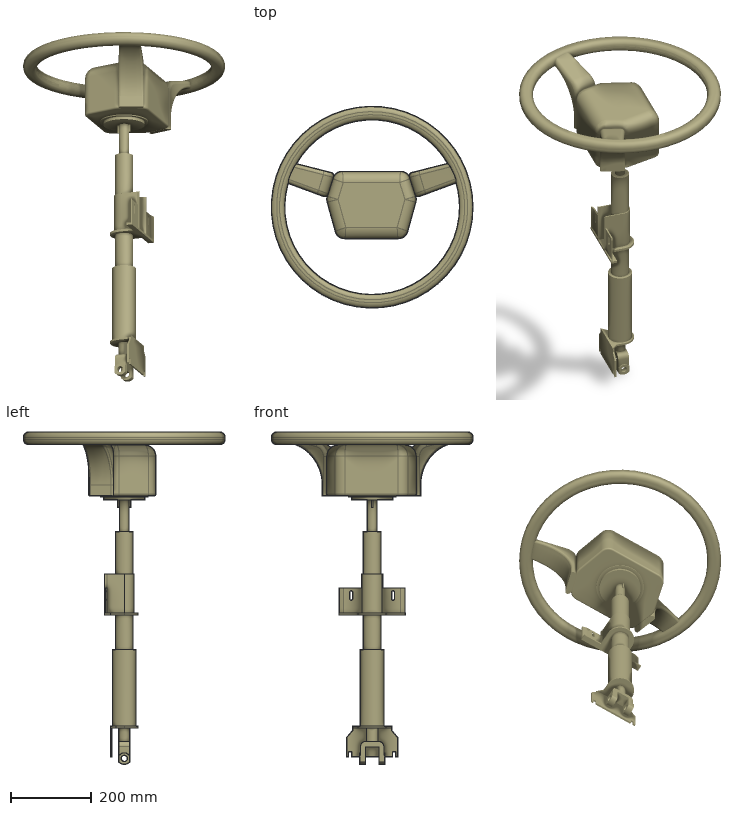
import cadquery as cq
import math

TOP_Z = 821
RIM_DIAMETER = 498.0
RIM_OUTER_R = RIM_DIAMETER / 2
RIM_WIDTH = 34.0
RIM_HEIGHT = 31.0
RIM_ROUND = 13.0

PAD_X = -2.0
PAD_BOTTOM_Z = 663.0
PAD_TOP_Z = 789.0
PAD_BACK_Y = 89.0
PAD_BACK_HALF = 90.0
PAD_SIDE_Y = 20.0
PAD_SIDE_HALF = 112.0
PAD_FRONT_Y = -78.0
PAD_FRONT_HALF = 84.5
PAD_CORNER_R = 25.0
PAD_TOP_R = 28.0
PAD_BOTTOM_R = 4.0

FLANGE_R = 59.0
FLANGE_T = 2.5
COLLAR_R = 51.0
HUB_BOTTOM_Z = 653.0

SPOKE_CENTRE_V = 21.0
SPOKE_ROOT_WIDTH = 63.0
SPOKE_TAPER = 3
SPOKE_ROOT_T = 15.0
SPOKE_OVERLAP = 2.0
SPOKE_ARC_Z = 690.0
SPOKE_ARC_R = 105.0
SPOKE_NOSE_Z = 760.0
SPOKE_NOSE_R = 35.0
SPOKE_SLOPE = 14.5
SPOKE_TOP_ROUND = 10.0
SPOKE_UNDER_ROUND = 4.5

SHAFT_R = 12.0
KEY_WIDTH = 3.0
KEY_REACH = 16.5
KEY_BOTTOM_Z = 634.5
INNER_TUBE_R = 22.0
INNER_TUBE_TOP_Z = 574.5
OUTER_TUBE_R = 29.5
OUTER_TUBE_TOP_Z = 283.0

SLEEVE_R = 25.0
SLEEVE_TOP_Z = 470.0
SLEEVE_FLARE = 2.05
BRACKET_BACK_Y = 49.0
WING_HALF = 81.0
WING_TOP_Z = 436.0
WING_FRONT_Y = 43.0
WING_T = 3.0
WING_BEND_X = 70.5
FOOT_TOP_Z = 374.0
FOOT_T = 6.0
FOOT_R = 34.5
FOOT_HALF = 82.0
FOOT_WING_Y = 34.5
SLOT_X = 52.0
SLOT_Z = 417.0
SLOT_LENGTH = 23.0
SLOT_WIDTH = 6.5

PLATE_TOP_Z = 94.0
PLATE_T = 5.0
PLATE_R = 34.5
PLATE_HALF = 48.5
APRON_T = 4.0
APRON_HALF = 63.0
APRON_NECK_Z = 84.0
APRON_SHOULDER_Z = 66.5
APRON_BOTTOM_Z = 19.0
NOTCH_X = 54.0
NOTCH_WIDTH = 7.0
NOTCH_TOP_Z = 31.0

NECK_R = 14.0
YOKE_TOP_Z = 57.0
YOKE_HALF = 29.0
YOKE_GAP_HALF = 16.5
YOKE_GAP_TOP_Z = 43.5
YOKE_ROUND = 12.0
YOKE_TIP_Z = 6.5
EYE_Z = 15.0
EYE_R = 7.0
BOSS_R = 14.0
EAR_HALF = 31.0
EAR_TOP_Z = 24.0


def cylinder(radius, bottom_z, top_z):
    return cq.Workplane("XY").workplane(offset=bottom_z).circle(radius).extrude(top_z - bottom_z)


def mirrored_outline(half_points):
    """Complete an outline from its +X half, listed from one end of the Y axis to the other."""
    return half_points + [(-x, y) for x, y in reversed(half_points)]


def make_rim():
    centre_r = RIM_OUTER_R - RIM_WIDTH / 2
    section = (
        cq.Workplane("XZ")
        .center(centre_r, TOP_Z - RIM_HEIGHT / 2)
        .sketch()
        .rect(RIM_WIDTH, RIM_HEIGHT)
        .vertices()
        .fillet(RIM_ROUND)
        .finalize()
    )
    return section.revolve(360, (-centre_r, 0), (-centre_r, 1))


def make_pad():
    outline = mirrored_outline(
        [(PAD_BACK_HALF, PAD_BACK_Y), (PAD_SIDE_HALF, PAD_SIDE_Y), (PAD_FRONT_HALF, PAD_FRONT_Y)]
    )
    pad = (
        cq.Workplane("XY")
        .workplane(offset=PAD_BOTTOM_Z)
        .polyline(outline)
        .close()
        .extrude(PAD_TOP_Z - PAD_BOTTOM_Z)
    )
    pad = pad.edges("|Z").fillet(PAD_CORNER_R)
    pad = pad.faces(">Z").edges().fillet(PAD_TOP_R)
    return pad.faces("<Z").edges().fillet(PAD_BOTTOM_R)


def spoke_profile(inner_u, outer_u, nose_u, tip_u):
    """Side shape of a spoke: upright root, rounded nose, sloping top and hollow underside."""
    slope = math.radians(SPOKE_SLOPE)
    nose_z = SPOKE_NOSE_Z + SPOKE_NOSE_R * math.cos(slope)
    nose_mid_angle = (math.pi + (math.pi / 2 + slope)) / 2
    nose_mid = (
        inner_u + SPOKE_NOSE_R * (1 + math.cos(nose_mid_angle)),
        SPOKE_NOSE_Z + SPOKE_NOSE_R * math.sin(nose_mid_angle),
    )
    underside_mid = (
        tip_u - SPOKE_ARC_R * math.cos(math.pi / 4),
        SPOKE_ARC_Z + SPOKE_ARC_R * math.sin(math.pi / 4),
    )
    return (
        cq.Workplane("XZ")
        .moveTo(inner_u, PAD_BOTTOM_Z)
        .lineTo(inner_u, SPOKE_NOSE_Z)
        .threePointArc(nose_mid, (nose_u, nose_z))
        .lineTo(tip_u, nose_z + (tip_u - nose_u) * math.tan(slope))
        .lineTo(tip_u, SPOKE_ARC_Z + SPOKE_ARC_R)
        .threePointArc(underside_mid, (outer_u, SPOKE_ARC_Z))
        .lineTo(outer_u, PAD_BOTTOM_Z)
        .close()
        .extrude(SPOKE_ROOT_WIDTH, both=True)
    )


def spoke_plan(inner_u, tip_u):
    """Prism that narrows the spoke toward the rim."""
    root_half = SPOKE_ROOT_WIDTH / 2
    tip_half = root_half - (tip_u - inner_u) * math.tan(math.radians(SPOKE_TAPER))
    return (
        cq.Workplane("XY")
        .workplane(offset=PAD_BOTTOM_Z)
        .polyline([(inner_u, -root_half), (tip_u, -tip_half), (tip_u, tip_half), (inner_u, root_half)])
        .close()
        .extrude(TOP_Z - PAD_BOTTOM_Z)
    )


def edges_centred_between(low_u, low_z, high_u, high_z):
    """Select the spoke edges whose centres lie in a range of u and z."""
    return cq.selectors.BoxSelector((low_u, -SPOKE_ROOT_WIDTH, low_z), (high_u, SPOKE_ROOT_WIDTH, high_z))


def make_left_spoke():
    """Build the spoke with u along +X and v along +Y, then turn it square to the pad's side."""
    side_angle = math.atan2(PAD_SIDE_HALF - PAD_BACK_HALF, PAD_BACK_Y - PAD_SIDE_Y)
    side_u = PAD_SIDE_HALF * math.cos(side_angle) + PAD_SIDE_Y * math.sin(side_angle)
    inner_u = side_u - SPOKE_OVERLAP
    outer_u = inner_u + SPOKE_ROOT_T
    nose_u = inner_u + SPOKE_NOSE_R * (1 - math.sin(math.radians(SPOKE_SLOPE)))
    tip_u = outer_u + SPOKE_ARC_R
    spoke = spoke_profile(inner_u, outer_u, nose_u, tip_u).intersect(spoke_plan(inner_u, tip_u))

    middle_u = (outer_u + tip_u) / 2
    top_edges = edges_centred_between(nose_u, SPOKE_NOSE_Z, (middle_u + tip_u) / 2, TOP_Z)
    under_edges = edges_centred_between(outer_u, SPOKE_ARC_Z, middle_u, SPOKE_NOSE_Z)
    spoke = spoke.edges(top_edges).fillet(SPOKE_TOP_ROUND)
    spoke = spoke.edges(under_edges).fillet(SPOKE_UNDER_ROUND)
    turn = 180 - math.degrees(side_angle)
    return spoke.translate((0, -SPOKE_CENTRE_V, 0)).rotate((0, 0, 0), (0, 0, 1), turn)


def make_wheel():
    left_spoke = make_left_spoke()
    hub = make_pad().union(left_spoke).union(left_spoke.mirror("YZ")).translate((PAD_X, 0, 0))
    flange = cylinder(FLANGE_R, PAD_BOTTOM_Z - FLANGE_T, PAD_BOTTOM_Z)
    collar = cylinder(COLLAR_R, HUB_BOTTOM_Z, PAD_BOTTOM_Z)
    return hub.union(make_rim()).union(flange).union(collar)


def make_sleeve():
    """Bent sheet hugging the inner tube, its two back edges flared outward."""
    flared_r = SLEEVE_R + SLEEVE_FLARE
    flared_inner_r = INNER_TUBE_R + SLEEVE_FLARE
    return (
        cq.Workplane("XY")
        .workplane(offset=FOOT_TOP_Z)
        .moveTo(-flared_r, BRACKET_BACK_Y)
        .lineTo(-SLEEVE_R, WING_FRONT_Y)
        .lineTo(-SLEEVE_R, 0)
        .threePointArc((0, -SLEEVE_R), (SLEEVE_R, 0))
        .lineTo(SLEEVE_R, WING_FRONT_Y)
        .lineTo(flared_r, BRACKET_BACK_Y)
        .lineTo(flared_inner_r, BRACKET_BACK_Y)
        .lineTo(INNER_TUBE_R, WING_FRONT_Y)
        .lineTo(INNER_TUBE_R, 0)
        .threePointArc((0, -INNER_TUBE_R), (-INNER_TUBE_R, 0))
        .lineTo(-INNER_TUBE_R, WING_FRONT_Y)
        .lineTo(-flared_inner_r, BRACKET_BACK_Y)
        .close()
        .extrude(SLEEVE_TOP_Z - FOOT_TOP_Z)
    )


def make_right_wing():
    """Slotted sheet standing out from the sleeve, with its free end bent back."""
    outline = [
        (SLEEVE_R, WING_FRONT_Y),
        (WING_BEND_X, WING_FRONT_Y),
        (WING_HALF, BRACKET_BACK_Y - WING_T),
        (WING_HALF, BRACKET_BACK_Y),
        (WING_BEND_X, WING_FRONT_Y + WING_T),
        (SLEEVE_R, WING_FRONT_Y + WING_T),
    ]
    wing = (
        cq.Workplane("XY")
        .workplane(offset=FOOT_TOP_Z)
        .polyline(outline)
        .close()
        .extrude(WING_TOP_Z - FOOT_TOP_Z)
    )
    slot = (
        cq.Workplane("XZ", origin=(SLOT_X, BRACKET_BACK_Y, SLOT_Z))
        .slot2D(SLOT_LENGTH, SLOT_WIDTH, 90)
        .extrude(BRACKET_BACK_Y)
    )
    return wing.cut(slot)


def make_foot():
    """Flange under the sleeve and wings, round in front and wide at the back."""
    outline = [
        (FOOT_R, 0),
        (FOOT_R, FOOT_WING_Y),
        (FOOT_HALF, FOOT_WING_Y),
        (FOOT_HALF, BRACKET_BACK_Y),
    ]
    back = (
        cq.Workplane("XY")
        .workplane(offset=FOOT_TOP_Z - FOOT_T)
        .polyline(mirrored_outline(outline))
        .close()
        .extrude(FOOT_T)
    )
    return cylinder(FOOT_R, FOOT_TOP_Z - FOOT_T, FOOT_TOP_Z).union(back)


def make_bracket():
    wing = make_right_wing()
    return make_sleeve().union(wing).union(wing.mirror("YZ")).union(make_foot())


def make_lower_plate():
    bottom_z = PLATE_TOP_Z - PLATE_T
    outline = [
        (PLATE_R, 0),
        (PLATE_R, PLATE_R - (PLATE_HALF - PLATE_R)),
        (PLATE_HALF, PLATE_R),
    ]
    back = (
        cq.Workplane("XY")
        .workplane(offset=bottom_z)
        .polyline(mirrored_outline(outline))
        .close()
        .extrude(PLATE_T)
    )
    return cylinder(PLATE_R, bottom_z, PLATE_TOP_Z).union(back)


def make_apron():
    """Upright sheet hanging from the back edge of the lower plate, notched at the bottom."""
    outline = [
        (PLATE_HALF, PLATE_TOP_Z - PLATE_T),
        (PLATE_HALF, APRON_NECK_Z),
        (APRON_HALF, APRON_SHOULDER_Z),
        (APRON_HALF, APRON_BOTTOM_Z),
    ]
    apron = (
        cq.Workplane("XZ", origin=(0, PLATE_R, 0))
        .polyline(mirrored_outline(outline))
        .close()
        .extrude(APRON_T)
    )
    notches = (
        cq.Workplane("XZ", origin=(0, PLATE_R, APRON_BOTTOM_Z))
        .pushPoints([(-NOTCH_X, 0), (NOTCH_X, 0)])
        .rect(NOTCH_WIDTH, 2 * (NOTCH_TOP_Z - APRON_BOTTOM_Z))
        .extrude(APRON_T)
    )
    return apron.cut(notches)


def make_yoke():
    block = (
        cq.Workplane("XY")
        .rect(2 * YOKE_HALF, 2 * NECK_R)
        .extrude(YOKE_TOP_Z)
        .edges("|Y and >Z")
        .fillet(YOKE_ROUND)
    )
    ears = cq.Workplane("XY").rect(2 * EAR_HALF, 2 * NECK_R).extrude(EAR_TOP_Z)
    bosses = cq.Workplane("YZ").center(0, EYE_Z).circle(BOSS_R).extrude(EAR_HALF, both=True)
    gap = cq.Workplane("XY").rect(2 * YOKE_GAP_HALF, 2 * NECK_R).extrude(YOKE_GAP_TOP_Z)
    eye = cq.Workplane("YZ").center(0, EYE_Z).circle(EYE_R).extrude(EAR_HALF, both=True)
    side_profile = (
        cq.Workplane("YZ")
        .moveTo(-NECK_R, YOKE_TOP_Z)
        .lineTo(-NECK_R, YOKE_TIP_Z)
        .threePointArc((0, 0), (NECK_R, YOKE_TIP_Z))
        .lineTo(NECK_R, YOKE_TOP_Z)
        .close()
        .extrude(EAR_HALF, both=True)
    )
    return block.union(ears).union(bosses).intersect(side_profile).cut(gap).cut(eye)


def make_column():
    keys = (
        cq.Workplane("XY")
        .workplane(offset=KEY_BOTTOM_Z)
        .rect(KEY_WIDTH, 2 * KEY_REACH)
        .extrude(HUB_BOTTOM_Z - KEY_BOTTOM_Z)
    )
    return (
        cylinder(SHAFT_R, INNER_TUBE_TOP_Z, HUB_BOTTOM_Z)
        .union(keys)
        .union(cylinder(INNER_TUBE_R, OUTER_TUBE_TOP_Z, INNER_TUBE_TOP_Z))
        .union(make_bracket())
        .union(cylinder(OUTER_TUBE_R, PLATE_TOP_Z, OUTER_TUBE_TOP_Z))
        .union(make_lower_plate())
        .union(make_apron())
        .union(cylinder(NECK_R, YOKE_TOP_Z, PLATE_TOP_Z - PLATE_T))
        .union(make_yoke())
    )


wheel = make_wheel()
column = make_column()
result = cq.Compound.makeCompound([wheel.val(), column.val()])